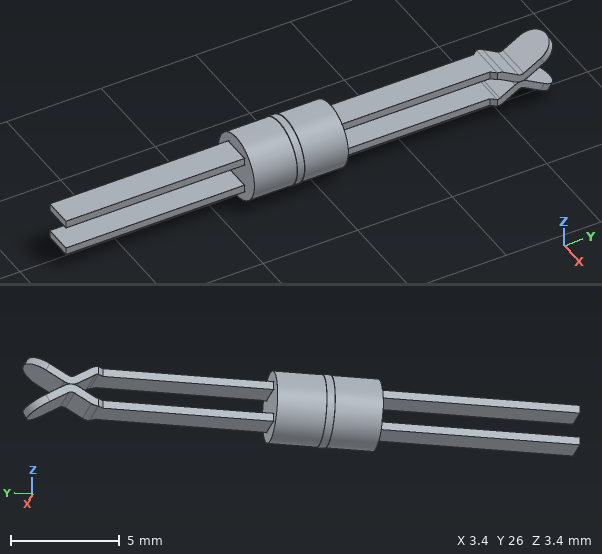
import cadquery as cq
import math

total_length = 26.0

band_diameter = 3.4
housing_diameter = 3.35
housing_start = 9.43
housing_length = 4.96
band_start = 11.7
band_width = 0.4

lead_width = 1.5
lead_thickness = 0.4
lead_height = 0.78
paddle_width = 1.98
shoulder_start = 22.4
bend_start = 22.66
bend_angle = 30.0
bend_radius = 0.47

half_thickness = lead_thickness / 2
inner_radius = bend_radius - half_thickness
outer_radius = bend_radius + half_thickness
sin_bend = math.sin(math.radians(bend_angle))
cos_bend = math.cos(math.radians(bend_angle))

shoulder_center = (bend_start, lead_height - bend_radius)
contact_center_z = half_thickness + bend_radius
slope_drop = shoulder_center[1] + 2 * bend_radius * cos_bend - contact_center_z
slope_run = slope_drop * cos_bend / sin_bend
contact_center = (bend_start + 2 * bend_radius * sin_bend + slope_run, contact_center_z)

paddle_root_y = contact_center[0] + bend_radius * sin_bend
paddle_root_z = contact_center[1] - bend_radius * cos_bend
tip_y = total_length - half_thickness * sin_bend
paddle_length = (tip_y - paddle_root_y) / cos_bend


def arc_point(center, radius, degrees):
    """Point (y, z) on a circle, with the angle measured from +Y toward +Z."""
    angle = math.radians(degrees)
    return (center[0] + radius * math.cos(angle), center[1] + radius * math.sin(angle))


def make_strip():
    """Straight part of the upper lead, with the shoulders that widen it to the paddle."""
    half_width = lead_width / 2
    half_paddle = paddle_width / 2
    return (
        cq.Workplane("XY")
        .workplane(offset=lead_height - half_thickness)
        .moveTo(-half_width, 0)
        .lineTo(half_width, 0)
        .lineTo(half_width, shoulder_start)
        .lineTo(half_paddle, bend_start)
        .lineTo(-half_paddle, bend_start)
        .lineTo(-half_width, shoulder_start)
        .close()
        .extrude(lead_thickness)
    )


def make_bends():
    """Bent part of the upper lead, from the shoulder to the root of the paddle."""
    first_end = 90 - bend_angle
    first_middle = 90 - bend_angle / 2
    contact_start = 270 - bend_angle
    contact_end = 270 + bend_angle
    return (
        cq.Workplane("YZ")
        .moveTo(*arc_point(shoulder_center, outer_radius, 90))
        .threePointArc(
            arc_point(shoulder_center, outer_radius, first_middle),
            arc_point(shoulder_center, outer_radius, first_end),
        )
        .lineTo(*arc_point(contact_center, inner_radius, contact_start))
        .threePointArc(
            arc_point(contact_center, inner_radius, 270),
            arc_point(contact_center, inner_radius, contact_end),
        )
        .lineTo(*arc_point(contact_center, outer_radius, contact_end))
        .threePointArc(
            arc_point(contact_center, outer_radius, 270),
            arc_point(contact_center, outer_radius, contact_start),
        )
        .lineTo(*arc_point(shoulder_center, inner_radius, first_end))
        .threePointArc(
            arc_point(shoulder_center, inner_radius, first_middle),
            arc_point(shoulder_center, inner_radius, 90),
        )
        .close()
        .extrude(paddle_width / 2, both=True)
    )


def make_paddle():
    """Tilted flat paddle of the upper lead, with a semicircular tip."""
    half_paddle = paddle_width / 2
    straight_length = paddle_length - half_paddle
    paddle_plane = cq.Plane(
        origin=(0, paddle_root_y, paddle_root_z),
        xDir=(1, 0, 0),
        normal=(0, -sin_bend, cos_bend),
    )
    return (
        cq.Workplane(paddle_plane)
        .moveTo(-half_paddle, 0)
        .lineTo(half_paddle, 0)
        .lineTo(half_paddle, straight_length)
        .threePointArc((0, paddle_length), (-half_paddle, straight_length))
        .close()
        .extrude(half_thickness, both=True)
    )


def make_lead(is_upper):
    """One complete lead; the lower one is the mirror image of the upper one."""
    lead = make_strip().union(make_bends()).union(make_paddle())
    return lead if is_upper else lead.mirror("XY")


def make_cylinder(diameter, start, length):
    """Cylinder on the Y axis, running toward +Y from its start."""
    return cq.Workplane("XZ", origin=(0, start, 0)).circle(diameter / 2).extrude(-length)


def make_housing(leads):
    """Bead with its raised band and one fitted slot through it for each lead."""
    housing = make_cylinder(housing_diameter, housing_start, housing_length)
    housing = housing.union(make_cylinder(band_diameter, band_start, band_width))
    for lead in leads:
        housing = housing.cut(lead)
    return housing


leads = [make_lead(is_upper) for is_upper in (True, False)]
housing = make_housing(leads)

result = cq.Compound.makeCompound([housing.solids().val(), *[lead.solids().val() for lead in leads]])